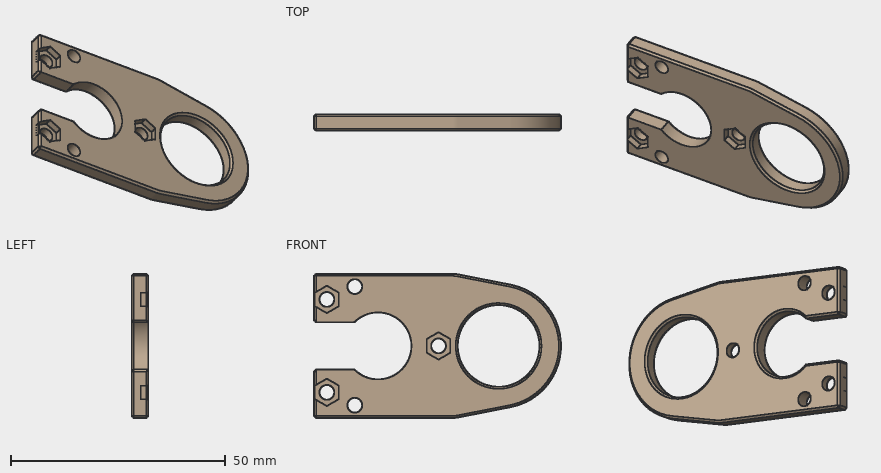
import cadquery as cq
import math

length = 57.5
width = 33.6
thickness = 3.9
edge_chamfer = 0.5
half_width = width / 2

end_radius = 14.55
ring_x = length - end_radius
ring_diameter = 19.0
shoulder_x = 32.9
shoulder_radius = 5.0

keyhole_x = 14.9
keyhole_radius = 7.75
slot_half_width = 5.45

screw_diameter = 3.4
plain_hole_x = 9.5
plain_hole_z = 13.8
end_nut_x = 3.0
end_nut_z = 10.8
middle_nut_x = 29.0
nut_across_flats = 5.5
nut_depth = 1.7

plain_holes = [(plain_hole_x, plain_hole_z), (plain_hole_x, -plain_hole_z)]
nut_holes = [(end_nut_x, end_nut_z), (end_nut_x, -end_nut_z), (middle_nut_x, 0)]


def front_plane():
    """XZ sketch on the front face (Y = 0); positive extrusion runs toward -Y."""
    return cq.Workplane("XZ")


def make_plate():
    """Straight plate whose tapered sides run tangent into the rounded end."""
    to_shoulder = math.atan2(half_width, shoulder_x - ring_x)
    shoulder_distance = math.hypot(half_width, shoulder_x - ring_x)
    tangent_angle = to_shoulder - math.acos(end_radius / shoulder_distance)
    tangent_x = ring_x + end_radius * math.cos(tangent_angle)
    tangent_z = end_radius * math.sin(tangent_angle)
    plate = (
        front_plane()
        .moveTo(0, -half_width)
        .lineTo(shoulder_x, -half_width)
        .lineTo(tangent_x, -tangent_z)
        .threePointArc((length, 0), (tangent_x, tangent_z))
        .lineTo(shoulder_x, half_width)
        .lineTo(0, half_width)
        .close()
        .extrude(-thickness)
    )
    margin = 0.6
    shoulders = cq.selectors.BoxSelector(
        (shoulder_x - margin, 0, -width), (shoulder_x + margin, thickness, width)
    )
    return plate.edges("|Y").edges(shoulders).fillet(shoulder_radius)


def make_keyhole():
    """Keyhole cutter: a parallel slot from the X = 0 end running into a round opening."""
    neck_x = keyhole_x - math.sqrt(keyhole_radius**2 - slot_half_width**2)
    return (
        front_plane()
        .moveTo(0, -slot_half_width)
        .lineTo(neck_x, -slot_half_width)
        .threePointArc((keyhole_x + keyhole_radius, 0), (neck_x, slot_half_width))
        .lineTo(0, slot_half_width)
        .close()
        .extrude(-thickness)
    )


def cut_nut_holes(body):
    """Through holes with hexagonal nut pockets, two hexagon flats facing along X."""
    nut_across_corners = nut_across_flats / math.cos(math.pi / 6)
    screws = front_plane().pushPoints(nut_holes).circle(screw_diameter / 2).extrude(-thickness)
    body = body.cut(screws)
    for x, z in nut_holes:
        pocket = (
            front_plane()
            .center(x, z)
            .transformed(rotate=(0, 0, 90))
            .polygon(6, nut_across_corners)
            .extrude(-nut_depth)
        )
        body = body.cut(pocket)
    return body


def chamfer_edges(body):
    """Chamfer both end faces, the whole back face and the front face except the keyhole."""
    margin = edge_chamfer / 2
    keyhole_reach = keyhole_radius + margin
    keyhole_front = cq.selectors.BoxSelector(
        (margin, -margin, -keyhole_reach),
        (keyhole_x + keyhole_reach, margin, keyhole_reach),
    )
    front_edges = body.faces("<Y").edges(cq.selectors.InverseSelector(keyhole_front))
    back_edges = body.faces(">Y").edges()
    end_edges = body.faces("<X").edges()
    return front_edges.add(back_edges).add(end_edges).chamfer(edge_chamfer)


ring_opening = front_plane().center(ring_x, 0).circle(ring_diameter / 2).extrude(-thickness)
plain_screws = front_plane().pushPoints(plain_holes).circle(screw_diameter / 2).extrude(-thickness)

blank = make_plate().cut(ring_opening).cut(make_keyhole())
result = cut_nut_holes(chamfer_edges(blank)).cut(plain_screws)